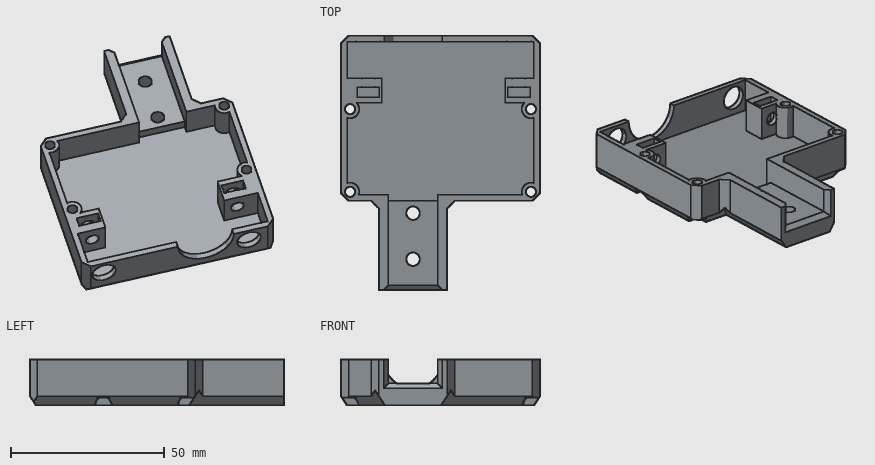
import cadquery as cq

height = 15.0
box_width = 65.0
box_length = 53.95
wall = 2.0
floor = 4.0
corner_chamfer = 2.5

arm_x = -9.0
arm_length = 29.05
arm_width = 22.25
channel_width = 16.0
channel_floor = 7.1
mouth_bevel = 1.6

bevel_height = 3.0
bevel_inset = 2.0

post_radius = 3.0
post_inset = 3.0
post_spacing = 27.0
screw_diameter = 3.2
counterbore_depth = 2.5

arm_hole_diameter = 4.3
arm_hole_ys = (-4.0, -19.0)

block_front = 32.0
block_back = 40.0
left_block_edge = -19.1
right_block_edge = 21.2
nut_width = 7.3
nut_thickness = 3.2
nut_y = 33.9
left_bolt_x = -23.6
right_bolt_x = 25.6
bolt_z = 10.0
bolt_diameter = 4.3
access_diameter = 8.0

notch_radius = 9.5

half_width = box_width / 2
inner_half = half_width - wall
arm_left = arm_x - arm_width / 2
arm_right = arm_x + arm_width / 2


def block(x0, x1, y0, y1, z0, z1):
    """Axis-aligned block between two opposite corners."""
    return cq.Workplane("XY").box(x1 - x0, y1 - y0, z1 - z0, centered=False).translate((x0, y0, z0))


def cylinder_y(x, z, radius, y0, y1):
    """Cylinder along Y from y0 to y1."""
    return cq.Workplane("XZ", origin=(x, y0, z)).circle(radius).extrude(y0 - y1)


def outline():
    """Box and arm with chamfered corners and gussets at their junction."""
    box = block(-half_width, half_width, 0, box_length, 0, height).edges("|Z").chamfer(corner_chamfer)
    arm = block(arm_left, arm_right, -arm_length, corner_chamfer, 0, height)
    gussets = (
        cq.Workplane("XY")
        .moveTo(arm_left - corner_chamfer, 0)
        .lineTo(arm_left, -corner_chamfer)
        .lineTo(arm_right, -corner_chamfer)
        .lineTo(arm_right + corner_chamfer, 0)
        .close()
        .extrude(height)
    )
    return box.union(arm).union(gussets)


def flared(half_span, length, plane):
    """Prism whose two sides slope outward from the underside up to full height."""
    spread = height * bevel_inset / bevel_height
    base = half_span - bevel_inset
    return (
        cq.Workplane(plane)
        .polyline([(-base, 0), (base, 0), (base + spread, height), (-base - spread, height)])
        .close()
        .extrude(length / 2, both=True)
    )


def underside_envelope():
    """Bevel planes of box and arm, carried outward so they meet on the gussets."""
    reach = 4 * box_width
    box_sides = flared(half_width, reach, "XZ")
    box_ends = flared(box_length / 2, reach, "YZ").translate((0, box_length / 2, 0))
    arm_sides = flared(arm_width / 2, 2 * arm_length, "XZ").translate((arm_x, 0, 0))
    return box_sides.intersect(box_ends).union(arm_sides)


def posts(radius, z0, z1):
    """Cylinders at the four lid screw positions."""
    x = half_width - post_inset
    points = [(sx * x, post_inset + dy) for sx in (-1, 1) for dy in (0, post_spacing)]
    return cq.Workplane("XY", origin=(0, 0, z0)).pushPoints(points).circle(radius).extrude(z1 - z0)


def arm_channel():
    """Open channel in the arm, flared at its mouth and joined to the box interior."""
    left = arm_x - channel_width / 2
    right = arm_x + channel_width / 2
    channel = block(left, right, -arm_length, 0, channel_floor, height)
    box_opening = block(left, right, 0, wall, floor, height)
    y0 = -arm_length
    y1 = y0 + mouth_bevel
    side_flare = (
        cq.Workplane("XY", origin=(0, 0, channel_floor - mouth_bevel))
        .polyline([(left - mouth_bevel, y0), (right + mouth_bevel, y0), (right, y1), (left, y1)])
        .close()
        .extrude(height)
    )
    sill_flare = (
        cq.Workplane("YZ", origin=(left - mouth_bevel, 0, 0))
        .polyline([(y0, channel_floor - mouth_bevel), (y1, channel_floor), (y1, height), (y0, height)])
        .close()
        .extrude(channel_width + 2 * mouth_bevel)
    )
    return channel.union(box_opening).union(side_flare.intersect(sill_flare))


body = outline().intersect(underside_envelope())
shell = body.cut(block(-inner_half, inner_half, wall, box_length - wall, floor, height))
shell = shell.cut(arm_channel())

shell = shell.union(posts(post_radius, floor, height).intersect(body))
shell = shell.union(block(-inner_half, left_block_edge, block_front, block_back, floor, height))
shell = shell.union(block(right_block_edge, inner_half, block_front, block_back, floor, height))

shell = shell.cut(posts(screw_diameter / 2, 0, height))
shell = shell.cut(posts(post_radius, 0, counterbore_depth))

for bolt_x in (left_bolt_x, right_bolt_x):
    slot_left = bolt_x - nut_width / 2
    slot_right = bolt_x + nut_width / 2
    slot_bottom = bolt_z - nut_width / 2
    shell = shell.cut(block(slot_left, slot_right, nut_y, nut_y + nut_thickness, slot_bottom, height))
    shell = shell.cut(cylinder_y(bolt_x, bolt_z, bolt_diameter / 2, block_front, block_back))
    shell = shell.cut(cylinder_y(bolt_x, bolt_z, access_diameter / 2, box_length - wall, box_length))

shell = shell.cut(cylinder_y(arm_x, height, notch_radius, box_length - wall, box_length))

arm_points = [(arm_x, y) for y in arm_hole_ys]
arm_holes = cq.Workplane("XY").pushPoints(arm_points).circle(arm_hole_diameter / 2).extrude(channel_floor)

result = shell.cut(arm_holes)